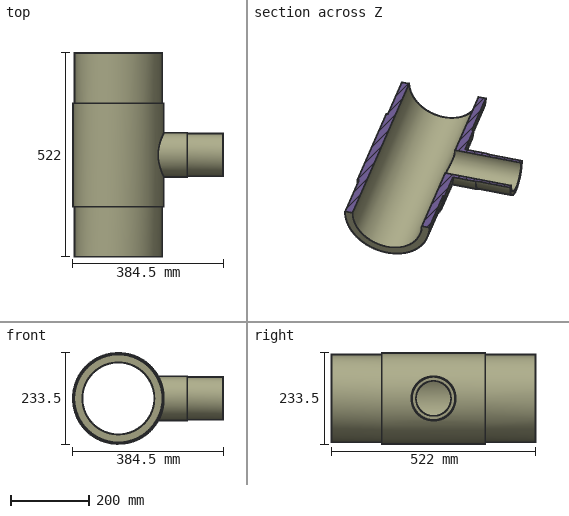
import cadquery as cq

pipe_length = 522.0
pipe_diameter = 225.0
pipe_bore = 184.0

sleeve_length = 265.5
sleeve_diameter = 233.5

branch_diameter = 114.0
branch_bore = 90.0
spigot_diameter = 110.0
spigot_length = 91.5
overall_width = 384.5
branch_reach = overall_width - sleeve_diameter / 2


def cylinder_along_y(diameter, length):
    """Cylinder on the Y axis, centred on the origin."""
    return cq.Workplane("XZ").circle(diameter / 2).extrude(length / 2, both=True)


def cylinder_along_x(diameter, length):
    """Cylinder on the X axis, from the origin towards +X."""
    return cq.Workplane("YZ").circle(diameter / 2).extrude(length)


body = cylinder_along_y(pipe_diameter, pipe_length)
body = body.union(cylinder_along_y(sleeve_diameter, sleeve_length))
body = body.union(cylinder_along_x(branch_diameter, branch_reach - spigot_length))
body = body.union(cylinder_along_x(spigot_diameter, branch_reach))

body = body.cut(cylinder_along_y(pipe_bore, pipe_length))
result = body.cut(cylinder_along_x(branch_bore, branch_reach))